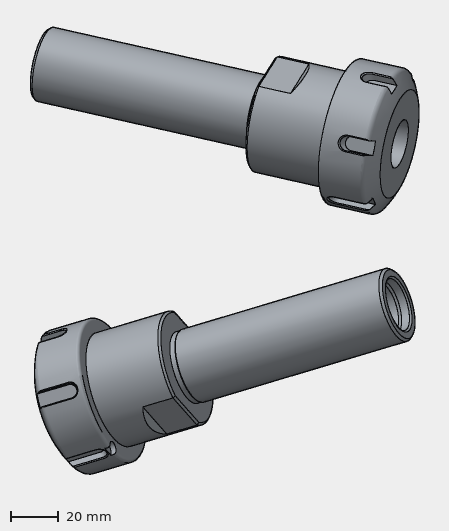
import cadquery as cq
import math


total_length = 160.0
shank_length = 100.0
nut_start = 134.9

shank_radius = 16.0
shank_chamfer = 1.0
shank_chamfer_length = 1.2
bore_radius = 10.4
counterbore_radius = 11.4
mouth_chamfer = 0.8
counterbore_depth = 4.5

relief_start = 97.3
relief_depth = 0.4
relief_floor_end = 99.0
relief_cone_rise = 0.2

body_radius = 25.0
body_chamfer = 1.0
flat_height = 22.4
flat_end = 115.2
selection_margin = 0.2

nut_radius = 31.5
nut_rear_fillet = 1.5
nut_lip_thickness = 8.0
nut_recess_end = total_length - nut_lip_thickness
shoulder_start = 154.2
shoulder_mid = (155.5, 31.0)
nose_start = (156.3, 30.0)
nose_mid = (158.2, 26.9)
face_radius = 23.4

slot_count = 6
slot_width = 6.2
slot_floor = 27.8
slot_end_angle = 25.0
rim_bevel_depth = 0.6
rim_bevel_angle = 45.0
upper_slot_start = 143.0
lower_slot_start = 138.0

notch_width = 5.5
notch_bottom = 27.2
notch_depth = 2.4


def revolve_about_x(profile):
    """Close a half section and turn it fully around the X axis."""
    return profile.close().revolve(360, (0, 0, 0), (1, 0, 0))


def body_outside():
    """Shank, relief groove and body, still without the bore and flats."""
    groove_radius = shank_radius - relief_depth
    profile = (
        cq.Workplane("XZ")
        .moveTo(0, 0)
        .lineTo(0, shank_radius - shank_chamfer)
        .lineTo(shank_chamfer_length, shank_radius)
        .lineTo(relief_start, shank_radius)
        .lineTo(relief_start + relief_depth, groove_radius)
        .lineTo(relief_floor_end, groove_radius)
        .lineTo(shank_length, groove_radius + relief_cone_rise)
        .lineTo(shank_length, body_radius)
        .lineTo(nut_recess_end, body_radius)
        .lineTo(nut_recess_end, 0)
    )
    return revolve_about_x(profile)


def flat_cutter():
    """Prism above the upper wrench flat, ending in a 45 degree ramp."""
    top = 2 * body_radius
    return (
        cq.Workplane("XZ")
        .moveTo(shank_length, flat_height)
        .lineTo(flat_end, flat_height)
        .lineTo(flat_end + top - flat_height, top)
        .lineTo(shank_length, top)
        .close()
        .extrude(body_radius, both=True)
    )


def body_bore():
    """Through bore with a chamfered counterbore at the shank end."""
    step = counterbore_radius - bore_radius
    profile = (
        cq.Workplane("XZ")
        .moveTo(0, 0)
        .lineTo(0, counterbore_radius + mouth_chamfer)
        .lineTo(mouth_chamfer, counterbore_radius)
        .lineTo(counterbore_depth, counterbore_radius)
        .lineTo(counterbore_depth + step, bore_radius)
        .lineTo(nut_recess_end, bore_radius)
        .lineTo(nut_recess_end, 0)
    )
    return revolve_about_x(profile)


def outer_shoulder_edges(body):
    """Rim of the shoulder face, made of two arcs and the two flats."""
    shoulder_plane = cq.selectors.BoxSelector(
        (shank_length - selection_margin, -body_radius, -body_radius),
        (shank_length + selection_margin, body_radius, body_radius),
    )
    return [
        edge
        for edge in body.edges(shoulder_plane).vals()
        if math.hypot(edge.positionAt(0).y, edge.positionAt(0).z) > flat_height
    ]


def make_body():
    """Turned body with two wrench flats, a chamfered shoulder and a bore."""
    flat = flat_cutter()
    body = body_outside().cut(flat).cut(flat.mirror("XY"))
    body = body.newObject(outer_shoulder_edges(body)).chamfer(body_chamfer)
    return body.cut(body_bore())


def nut_blank():
    """Nut with its rounded nose, a recess for the body and a through bore."""
    profile = (
        cq.Workplane("XZ")
        .moveTo(nut_start, body_radius)
        .lineTo(nut_start, nut_radius - nut_rear_fillet)
        .radiusArc((nut_start + nut_rear_fillet, nut_radius), nut_rear_fillet)
        .lineTo(shoulder_start, nut_radius)
        .threePointArc(shoulder_mid, nose_start)
        .threePointArc(nose_mid, (total_length, face_radius))
        .lineTo(total_length, bore_radius)
        .lineTo(nut_recess_end, bore_radius)
        .lineTo(nut_recess_end, body_radius)
    )
    return revolve_about_x(profile)


def slot_outline(start, height):
    """Long slot outline at a height above the axis, running out past the front of the nut."""
    length = 2 * (total_length - start)
    return (
        cq.Workplane("XY", origin=(start + length / 2, 0, height))
        .slot2D(length, slot_width)
    )


def slot_cutter(start):
    """Slot at the top of the nut with a round, sloping rear end and a bevelled rim."""
    slope = math.tan(math.radians(slot_end_angle))
    depth = nut_radius - slot_floor
    cut_height = 2 * depth

    floor_wire = slot_outline(start + depth * slope, slot_floor).wires().val()
    lean = cq.Vector(-cut_height * slope, 0, cut_height)
    prism = cq.Solid.extrudeLinear(floor_wire, [], lean)

    bevel_start = start + rim_bevel_depth * slope
    bevel = (
        slot_outline(bevel_start, nut_radius - rim_bevel_depth)
        .extrude(2 * rim_bevel_depth, taper=-rim_bevel_angle)
    )
    return bevel.union(cq.Workplane(prism))


def notch_cutter():
    """Notch at the bottom of the nut, rounded towards the axis."""
    radius = notch_width / 2
    return (
        cq.Workplane("YZ", origin=(nut_start, 0, 0))
        .moveTo(-radius, -nut_radius - radius)
        .lineTo(-radius, -notch_bottom - radius)
        .threePointArc((0, -notch_bottom), (radius, -notch_bottom - radius))
        .lineTo(radius, -nut_radius - radius)
        .close()
        .extrude(notch_depth)
    )


def make_nut():
    """Nut with evenly spaced slots; those below the axis reach further back."""
    nut = nut_blank()
    step = 360 / slot_count
    for index in range(slot_count):
        angle = index * step
        is_upper = math.cos(math.radians(angle)) > 0
        start = upper_slot_start if is_upper else lower_slot_start
        nut = nut.cut(slot_cutter(start).rotate((0, 0, 0), (1, 0, 0), angle))
    return nut.cut(notch_cutter())


body = make_body()
nut = make_nut()

result = cq.Compound.makeCompound([*body.solids().vals(), *nut.solids().vals()])